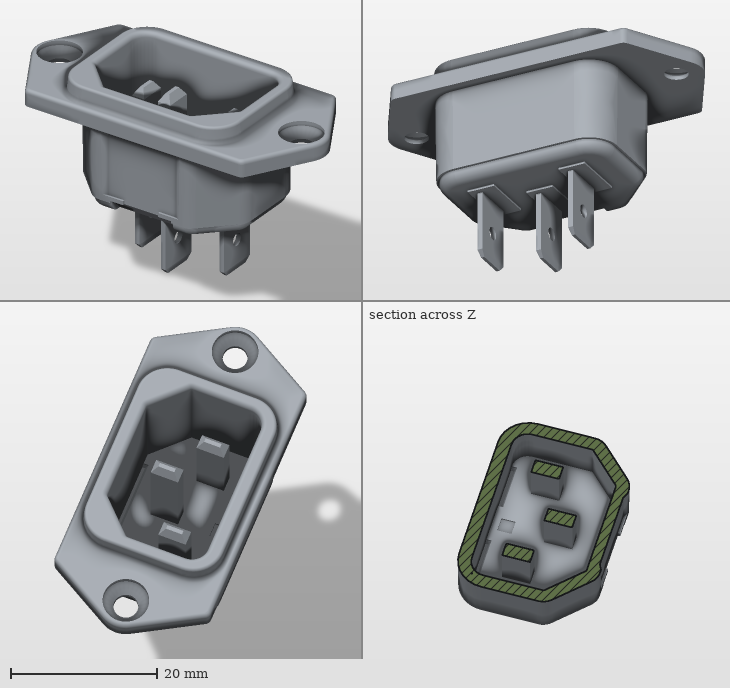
import cadquery as cq
import math


SELECTION_MARGIN = 0.05

FLANGE_LENGTH = 48.0
FLANGE_WIDTH = 23.0
FLANGE_THICKNESS = 2.55
TIP_RADIUS = 3.95
TIP_SLOPE = math.radians(60)
FLANGE_CORNER_RADIUS = 0.95
EDGE_FILLET = 0.6

SCREW_X = FLANGE_LENGTH / 2 - TIP_RADIUS
SCREW_DIAMETER = 3.4
HEAD_DIAMETER = 6.4
HEAD_RECESS = 0.7
HEAD_CONE_ANGLE = 100.0

COLLAR_TOP = 4.95
COLLAR_LENGTH = 28.05
COLLAR_WIDTH = 20.55
COLLAR_CORNER_RADIUS = 4.55
COLLAR_DRAFT = 6.0
COLLAR_TOP_FILLET = 0.45
COLLAR_FOOT_FILLET = 0.6

BODY_LENGTH = 27.65
BODY_WIDTH = 19.6
BODY_DEPTH = 13.7
BODY_BEVEL = 5.85
BODY_BACK_RADIUS = 4.45
BODY_BEVEL_RADIUS = 2.65
BODY_DRAFT = 0.7
BODY_LEDGE_Z = -12.0
BASE_INSET = 0.6
BASE_FILLET = 1.35

WALL = 1.85
CAVITY_FLOOR = -11.5
CAVITY_DRAFT = 0.7
CAVITY_BACK_RADIUS = 2.4
CAVITY_BEVEL_RADIUS = 0.5
RIM_FILLET = 0.7

SLOT_INNER_Y = 7.0
SLOT_OUTER_Y = 7.8
SLOT_DEPTH = 0.6
SLOT_SLOPE = 0.4
FRONT_SLOT_LENGTH = 11.4
BACK_SLOT_LENGTH = 6.65
BACK_SLOT_X = 6.15

MARK_SIZE = 2.0
MARK_Y = 5.7
MARK_DEPTH = 0.25

WINDOW_WIDTH = 13.15
WINDOW_FLOOR_WIDTH = 11.25
WINDOW_DEPTH = 0.5
WINDOW_BOTTOM = -11.05
WINDOW_TOP_SLOPE = 1.75
NOTCH_WIDTH = 5.85
RAMP_WIDTH = 10.1
RAMP_TOP = -11.65

CONTACT_X = 7.0
CONTACT_Y = 1.95
PIN_THICKNESS = 2.05
PIN_WIDTH = 4.05
PIN_TIP_THICKNESS = 0.6
PIN_TIP_WIDTH = 2.35
PIN_TIP_HEIGHT = 1.2
LINE_PIN_TOP = 0.7
EARTH_PIN_TOP = 3.75
PAD_LENGTH = 8.05
PAD_HEIGHT = 0.3
TAB_BOTTOM = -23.55
TAB_THICKNESS = 0.75
TAB_WIDTH = 6.25
TAB_OFFSET_X = 0.6
TAB_TIP_CHAMFER = 0.85
TAB_TIP_THINNING = 0.15
TAB_HOLE_DIAMETER = 1.9
TAB_HOLE_Z = -18.9


def make_flange():
    half_width = FLANGE_WIDTH / 2
    tangent_x = SCREW_X + TIP_RADIUS * math.sin(TIP_SLOPE)
    tangent_y = TIP_RADIUS * math.cos(TIP_SLOPE)
    corner_x = tangent_x - (half_width - tangent_y) / math.tan(TIP_SLOPE)
    flange = (
        cq.Workplane("XY")
        .moveTo(-corner_x, -half_width)
        .lineTo(corner_x, -half_width)
        .lineTo(tangent_x, -tangent_y)
        .threePointArc((FLANGE_LENGTH / 2, 0), (tangent_x, tangent_y))
        .lineTo(corner_x, half_width)
        .lineTo(-corner_x, half_width)
        .lineTo(-tangent_x, tangent_y)
        .threePointArc((-FLANGE_LENGTH / 2, 0), (-tangent_x, -tangent_y))
        .close()
        .extrude(FLANGE_THICKNESS)
    )
    for y_side in (">Y", "<Y"):
        flange = flange.edges("|Z").edges(y_side).fillet(FLANGE_CORNER_RADIUS)
    return flange.faces(">Z").edges().fillet(EDGE_FILLET)


def make_collar():
    return (
        cq.Workplane("XY", origin=(0, 0, FLANGE_THICKNESS))
        .sketch()
        .rect(COLLAR_LENGTH, COLLAR_WIDTH)
        .vertices()
        .fillet(COLLAR_CORNER_RADIUS)
        .finalize()
        .extrude(COLLAR_TOP - FLANGE_THICKNESS, taper=COLLAR_DRAFT)
        .faces(">Z")
        .edges()
        .fillet(COLLAR_TOP_FILLET)
    )


def bevelled_outline(z, inset, back_radius, bevel_radius):
    """Rectangle with rounded +Y corners and 45-degree bevels at the -Y corners, moved in by `inset`."""
    half_length = BODY_LENGTH / 2 - inset
    half_width = BODY_WIDTH / 2 - inset
    bevel = BODY_BEVEL - inset * (2 - math.sqrt(2))
    outline = [
        (half_length, half_width),
        (-half_length, half_width),
        (-half_length, bevel - half_width),
        (bevel - half_length, -half_width),
        (half_length - bevel, -half_width),
        (half_length, bevel - half_width),
        (half_length, half_width),
    ]
    sketch = cq.Sketch().polygon(outline)
    sketch = sketch.vertices(">Y").fillet(back_radius).reset()
    front_corners = cq.selectors.BoxSelector(
        (-half_length - SELECTION_MARGIN, -half_width - SELECTION_MARGIN, -SELECTION_MARGIN),
        (half_length + SELECTION_MARGIN, bevel - half_width + SELECTION_MARGIN, SELECTION_MARGIN),
    )
    sketch = sketch.vertices(front_corners).fillet(bevel_radius).reset()
    return cq.Workplane("XY", origin=(0, 0, z)).placeSketch(sketch)


def make_body():
    """Drafted body ending in a small ledge, with a rounded base set in below it."""
    flange_side = bevelled_outline(0, 0, BODY_BACK_RADIUS, BODY_BEVEL_RADIUS)
    upper = flange_side.extrude(BODY_LEDGE_Z, taper=BODY_DRAFT)
    base = (
        bevelled_outline(
            BODY_LEDGE_Z, BASE_INSET, BODY_BACK_RADIUS - BASE_INSET, BODY_BEVEL_RADIUS - BASE_INSET
        )
        .extrude(-BODY_DEPTH - BODY_LEDGE_Z)
        .faces("<Z")
        .edges()
        .fillet(BASE_FILLET)
    )
    return upper.union(base)


def make_cavity():
    mouth = bevelled_outline(COLLAR_TOP, WALL, CAVITY_BACK_RADIUS, CAVITY_BEVEL_RADIUS)
    return mouth.extrude(CAVITY_FLOOR - COLLAR_TOP, taper=CAVITY_DRAFT)


def rim_selector():
    """Selects the edges of the cavity mouth."""
    half_length = BODY_LENGTH / 2 - WALL + SELECTION_MARGIN
    half_width = BODY_WIDTH / 2 - WALL + SELECTION_MARGIN
    return cq.selectors.BoxSelector(
        (-half_length, -half_width, COLLAR_TOP - SELECTION_MARGIN),
        (half_length, half_width, COLLAR_TOP + SELECTION_MARGIN),
    )


def collar_foot_selector():
    """Selects the edges where the collar stands on the flange."""
    half_length = COLLAR_LENGTH / 2 + SELECTION_MARGIN
    half_width = COLLAR_WIDTH / 2 + SELECTION_MARGIN
    return cq.selectors.BoxSelector(
        (-half_length, -half_width, FLANGE_THICKNESS - SELECTION_MARGIN),
        (half_length, half_width, FLANGE_THICKNESS + SELECTION_MARGIN),
    )


def make_shell():
    shell = make_flange().union(make_collar())
    shell = shell.edges(collar_foot_selector()).fillet(COLLAR_FOOT_FILLET)
    shell = shell.union(make_body()).cut(make_cavity())
    return shell.edges(rim_selector()).fillet(RIM_FILLET)


def make_screw_cutter(x):
    """Through hole with a countersink that starts below a short cylindrical head recess."""
    hole_radius = SCREW_DIAMETER / 2
    head_radius = HEAD_DIAMETER / 2
    cone_top = FLANGE_THICKNESS - HEAD_RECESS
    cone_height = (head_radius - hole_radius) / math.tan(math.radians(HEAD_CONE_ANGLE / 2))
    return (
        cq.Workplane("XZ")
        .polyline(
            [
                (0, 0),
                (hole_radius, 0),
                (hole_radius, cone_top - cone_height),
                (head_radius, cone_top),
                (head_radius, FLANGE_THICKNESS),
                (0, FLANGE_THICKNESS),
            ]
        )
        .close()
        .revolve(360, (0, 0), (0, 1))
        .translate((x, 0, 0))
    )


def make_floor_slot_cutter(x, y_side, length):
    """Slot in the cavity floor along the +Y or -Y wall, with sloped lower edges."""
    width = SLOT_OUTER_Y - SLOT_INNER_Y
    slot = (
        cq.Workplane("XY", origin=(x, y_side * (SLOT_INNER_Y + width / 2), CAVITY_FLOOR))
        .rect(length, width)
        .extrude(-SLOT_DEPTH)
    )
    inner_edge = "<Y" if y_side > 0 else ">Y"
    return slot.faces("<Z").edges(f"{inner_edge} or |Y").chamfer(SLOT_SLOPE)


def cut_snap_window(part):
    """Shallow window with sloped top and sides, opening downward through a notch onto a ramp."""
    face_y = -BODY_WIDTH / 2
    floor_y = face_y + WINDOW_DEPTH
    center_z = WINDOW_BOTTOM / 2
    window = (
        cq.Workplane("XZ", origin=(0, face_y, 0))
        .center(0, center_z)
        .rect(WINDOW_WIDTH, -WINDOW_BOTTOM)
        .workplane(offset=-WINDOW_DEPTH)
        .center(0, -WINDOW_TOP_SLOPE / 2)
        .rect(WINDOW_FLOOR_WIDTH, -WINDOW_BOTTOM - WINDOW_TOP_SLOPE)
        .loft(combine=True)
    )
    notch = cq.Workplane("XY").box(
        NOTCH_WIDTH, WINDOW_DEPTH, WINDOW_BOTTOM - RAMP_TOP, centered=(True, False, False)
    )
    notch = notch.translate((0, face_y, RAMP_TOP))
    ramp_height = RAMP_TOP + BODY_DEPTH
    ramp = (
        cq.Workplane("YZ", origin=(-RAMP_WIDTH / 2, 0, 0))
        .polyline(
            [
                (face_y, RAMP_TOP),
                (floor_y, RAMP_TOP),
                (floor_y + ramp_height, -BODY_DEPTH),
                (face_y, -BODY_DEPTH),
            ]
        )
        .close()
        .extrude(RAMP_WIDTH)
    )
    return part.cut(window).cut(notch).cut(ramp)


def make_contact(x, y, pin_top):
    """Pin inside the cavity, rectangular pad under the body and solder tab below it."""
    pin_shoulder = pin_top - PIN_TIP_HEIGHT
    pin = (
        cq.Workplane("XY", origin=(x, y, CAVITY_FLOOR))
        .rect(PIN_THICKNESS, PIN_WIDTH)
        .extrude(pin_shoulder - CAVITY_FLOOR)
    )
    pin_tip = (
        cq.Workplane("XY", origin=(x, y, pin_shoulder))
        .rect(PIN_THICKNESS, PIN_WIDTH)
        .workplane(offset=PIN_TIP_HEIGHT)
        .rect(PIN_TIP_THICKNESS, PIN_TIP_WIDTH)
        .loft(combine=True)
    )
    pad = (
        cq.Workplane("XY", origin=(x, y, -BODY_DEPTH))
        .rect(PIN_WIDTH, PAD_LENGTH)
        .extrude(-PAD_HEIGHT)
    )
    tab_x = x + TAB_OFFSET_X
    tab_tip_z = TAB_BOTTOM + TAB_TIP_CHAMFER
    tab = (
        cq.Workplane("XY", origin=(tab_x, y, -BODY_DEPTH))
        .rect(TAB_THICKNESS, TAB_WIDTH)
        .extrude(tab_tip_z + BODY_DEPTH)
    )
    tab_tip = (
        cq.Workplane("XY", origin=(tab_x, y, tab_tip_z))
        .rect(TAB_THICKNESS, TAB_WIDTH)
        .workplane(offset=-TAB_TIP_CHAMFER)
        .rect(TAB_THICKNESS - 2 * TAB_TIP_THINNING, TAB_WIDTH - 2 * TAB_TIP_CHAMFER)
        .loft(combine=True)
    )
    tab_hole = (
        cq.Workplane("YZ", origin=(tab_x, y, TAB_HOLE_Z))
        .circle(TAB_HOLE_DIAMETER / 2)
        .extrude(TAB_THICKNESS, both=True)
    )
    return pin.union(pin_tip).union(pad).union(tab.union(tab_tip).cut(tab_hole))


result = make_shell()

for screw_x in (-SCREW_X, SCREW_X):
    result = result.cut(make_screw_cutter(screw_x))

result = cut_snap_window(result)

mark_plane = cq.Workplane("XY", origin=(0, MARK_Y, CAVITY_FLOOR))
result = result.cut(mark_plane.rect(MARK_SIZE, MARK_SIZE).extrude(-MARK_DEPTH))

result = result.cut(make_floor_slot_cutter(0, -1, FRONT_SLOT_LENGTH))
for slot_x in (-BACK_SLOT_X, BACK_SLOT_X):
    result = result.cut(make_floor_slot_cutter(slot_x, 1, BACK_SLOT_LENGTH))

for line_x in (-CONTACT_X, CONTACT_X):
    result = result.union(make_contact(line_x, CONTACT_Y, LINE_PIN_TOP))
result = result.union(make_contact(0, -CONTACT_Y, EARTH_PIN_TOP))